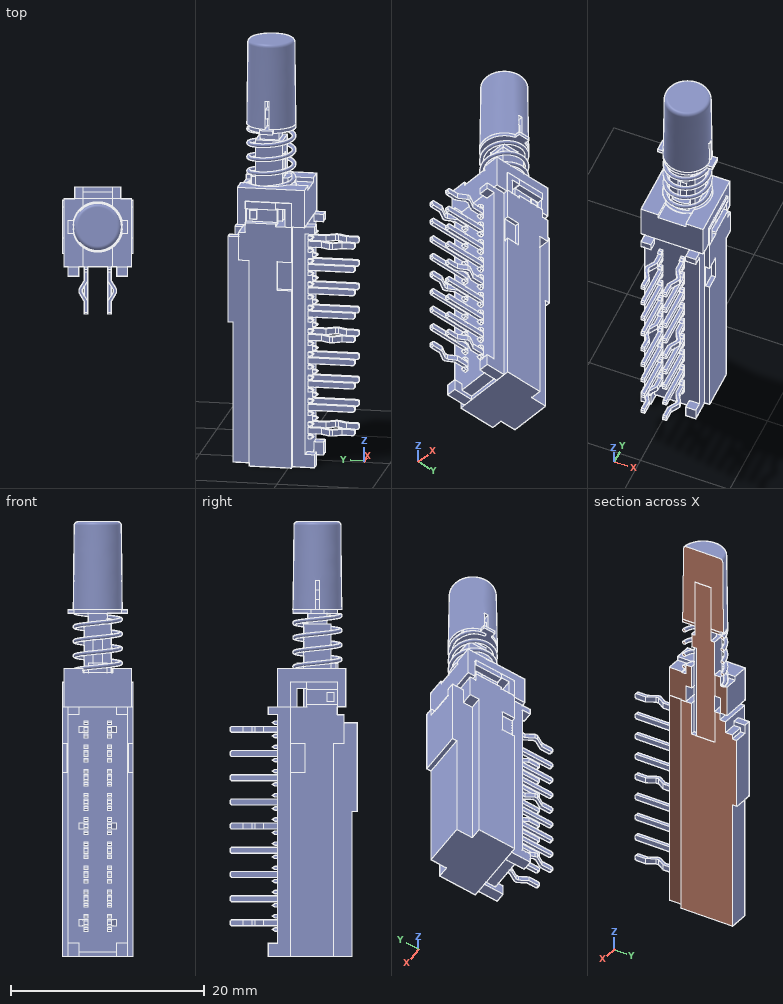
import cadquery as cq
import math


SHOULDER_Z = 22.05
SHOULDER_TOP_Z = 25.03
HOUSING_TOP_Z = 25.82
CAP_TOP_Z = 29.8

HOUSING_HALF_X = 3.65
HOUSING_REAR_Y = 1.67
HOUSING_TOP_REAR_Y = 2.07
SHOULDER_REAR_Y = 2.77
BOARD_REAR_Y = -2.77
FRONT_Y = -4.13

REAR_BLOCK_HALF_X = 2.39
REAR_BLOCK_Y = 3.6
REAR_BLOCK_TOP_Z = 24.2
REAR_PAD_Y = 4.13
REAR_PAD_BOTTOM_Z = 15.0
REAR_STEP = 0.5
CHANNEL_HALF_X = 1.55

SIDE_NOTCH_Y = -1.26
SIDE_NOTCH_BOTTOM_Z = 19.02
SIDE_NOTCH_DEPTH = 0.45

HOOK_FRONT_Y = -1.12
HOOK_TOP_Z = 28.37
HOOK_INNER_X = 2.4
HOOK_POCKET_BOTTOM_Z = 26.09
HOOK_POCKET_TOP_Z = 27.6
HOOK_POCKET_DEPTH = 0.7
HOOK_BUMP_Y = (0.98, 1.71)
HOOK_BUMP_Z = (26.36, 27.31)
HOOK_BUMP_HEIGHT = 0.2

CAP_HALF_X = 3.5
CAP_REAR_Y = 2.93
CAP_CAVITY_FRONT_Y = -2.09
CAP_CAVITY_TOP_Z = 27.7
CHANNEL_DEPTH = 0.45
SPRING_POCKET_RADIUS = 2.6
SPRING_POCKET_DEPTH = 0.55
SPRING_GUIDE_RADIUS = 2.13
SPRING_GUIDE_HALF_X = 0.94
SPRING_GUIDE_TOP_Z = 30.35

BOARD_HALF_X = 3.08
FOOT_INNER_X = 1.95
FOOT_FRONT_Y = -5.1
LOWER_FOOT_HEIGHT = 1.4
BOARD_NOTCH_HEIGHT = 0.5

PIN_ROWS = 9
PIN_PITCH = 2.5
FIRST_PIN_Z = 3.5
PIN_X = 1.22
PIN_THICKNESS = 0.38
PIN_HEIGHT = 0.64
PIN_TIP_Y = -9.02
PIN_TIP_CHAMFER = 0.15
KINK_EVERY = 4
KINK_OFFSET = 0.55
KINK_Y = (-5.55, -6.46, -6.77, -7.7)
BARB_OUTER = 0.87
BARB_INNER = 0.5
BARB_LENGTH = 0.55

PLUNGER_HALF = 1.42
PLUNGER_BOTTOM_Z = SHOULDER_Z
STEM_HALF = 1.0
STEM_BOTTOM_Z = 34.4
STEM_TOP_Z = 41.0
PLUNGER_SLOT_WIDTH = 0.95
PLUNGER_SLOT_DEPTH = 0.6
PLUNGER_SLOT_TOP_Z = 32.8
SNAP_Z = (36.93, 37.9)
SNAP_HEIGHT = 1.2

SEAT_BOTTOM_Z = 35.48
KNOB_BOTTOM_Z = 35.88
KNOB_TOP_Z = 44.99
KNOB_BOTTOM_RADIUS = 2.55
KNOB_TOP_RADIUS = 2.44
KNOB_FILLET = 0.42
KNOB_SLOT_WIDTH = 0.42
KNOB_SLOT_TOP_Z = 38.87
SEAT_REAR_Y = 2.1
EAR_HALF_X = 3.08
EAR_HALF_Y = 0.68

WIRE_DIAMETER = 0.4
SPRING_RADIUS = KNOB_BOTTOM_RADIUS - WIRE_DIAMETER / 2
SPRING_PITCH = 1.506
SPRING_TURNS = 4.25
SPRING_START_ANGLE = 90
SPRING_START_Z = 29.22


def box(x0, x1, y0, y1, z0, z1):
    return cq.Workplane("XY").box(x1 - x0, y1 - y0, z1 - z0, centered=False).translate((x0, y0, z0))


def centred_box(half_x, y0, y1, z0, z1):
    return box(-half_x, half_x, y0, y1, z0, z1)


def both_sides(shape):
    return shape.union(shape.mirror("YZ"))


def square_bar(half, z0, z1):
    return centred_box(half, -half, half, z0, z1)


def make_hooks():
    hook = box(-HOUSING_HALF_X, -HOOK_INNER_X, HOOK_FRONT_Y, HOUSING_TOP_REAR_Y, SHOULDER_TOP_Z, HOOK_TOP_Z)
    floor_x = -HOUSING_HALF_X + HOOK_POCKET_DEPTH
    pocket = box(
        -HOUSING_HALF_X, floor_x, HOOK_FRONT_Y, HOUSING_TOP_REAR_Y, HOOK_POCKET_BOTTOM_Z, HOOK_POCKET_TOP_Z
    )
    bump = box(floor_x - HOOK_BUMP_HEIGHT, floor_x, *HOOK_BUMP_Y, *HOOK_BUMP_Z)
    return both_sides(hook.cut(pocket).union(bump))


def make_rear_block():
    block = centred_box(REAR_BLOCK_HALF_X, HOUSING_REAR_Y, REAR_BLOCK_Y, 0, REAR_BLOCK_TOP_Z)
    pad = centred_box(REAR_BLOCK_HALF_X, REAR_BLOCK_Y, REAR_PAD_Y, REAR_PAD_BOTTOM_Z, REAR_BLOCK_TOP_Z)
    channel = centred_box(
        CHANNEL_HALF_X, HOUSING_REAR_Y, REAR_PAD_Y, REAR_BLOCK_TOP_Z - REAR_STEP, REAR_BLOCK_TOP_Z
    )
    pad_step = centred_box(
        CHANNEL_HALF_X, REAR_BLOCK_Y, REAR_PAD_Y, REAR_BLOCK_TOP_Z - 2 * REAR_STEP, REAR_BLOCK_TOP_Z
    )
    return block.union(pad).cut(channel).cut(pad_step)


def make_housing():
    lower = centred_box(HOUSING_HALF_X, BOARD_REAR_Y, HOUSING_REAR_Y, 0, SHOULDER_Z)
    shoulder = centred_box(HOUSING_HALF_X, BOARD_REAR_Y, SHOULDER_REAR_Y, SHOULDER_Z, SHOULDER_TOP_Z)
    upper = centred_box(HOUSING_HALF_X, BOARD_REAR_Y, HOUSING_TOP_REAR_Y, SHOULDER_TOP_Z, HOUSING_TOP_Z)
    side_notches = both_sides(
        box(
            -HOUSING_HALF_X, -HOUSING_HALF_X + SIDE_NOTCH_DEPTH,
            BOARD_REAR_Y, SIDE_NOTCH_Y, SIDE_NOTCH_BOTTOM_Z, SHOULDER_Z,
        )
    )
    plunger_bore = square_bar(PLUNGER_HALF, PLUNGER_BOTTOM_Z, HOUSING_TOP_Z)
    body = make_rear_block().union(lower).union(shoulder).union(upper)
    return body.cut(side_notches).cut(plunger_bore).union(make_hooks())


def make_spring_guides():
    """Two rounded tabs, in front of and behind the plunger, that centre the spring."""
    floor_z = CAP_TOP_Z - SPRING_POCKET_DEPTH
    height = SPRING_GUIDE_TOP_Z - floor_z
    cylinder = cq.Workplane("XY").workplane(offset=floor_z).circle(SPRING_GUIDE_RADIUS).extrude(height)
    strip = centred_box(
        SPRING_GUIDE_HALF_X, -SPRING_GUIDE_RADIUS, SPRING_GUIDE_RADIUS, floor_z, SPRING_GUIDE_TOP_Z
    )
    return cylinder.intersect(strip)


def make_cap():
    cap = centred_box(CAP_HALF_X, FRONT_Y, CAP_REAR_Y, HOUSING_TOP_Z, CAP_TOP_Z)
    side_pads = centred_box(HOUSING_HALF_X, BOARD_REAR_Y, HOUSING_TOP_REAR_Y, HOUSING_TOP_Z, HOOK_TOP_Z)
    cavity = centred_box(
        HOUSING_HALF_X, CAP_CAVITY_FRONT_Y, HOUSING_TOP_REAR_Y, HOUSING_TOP_Z, CAP_CAVITY_TOP_Z
    )
    hook_notches = both_sides(
        box(-HOUSING_HALF_X, -HOOK_INNER_X, HOOK_FRONT_Y, HOUSING_TOP_REAR_Y, HOUSING_TOP_Z, HOOK_TOP_Z)
    )
    channel = centred_box(CHANNEL_HALF_X, FRONT_Y, CAP_REAR_Y, CAP_TOP_Z - CHANNEL_DEPTH, CAP_TOP_Z)
    spring_pocket = cq.Workplane("XY").workplane(offset=CAP_TOP_Z).circle(SPRING_POCKET_RADIUS)
    spring_pocket = spring_pocket.extrude(-SPRING_POCKET_DEPTH)
    plunger_bore = square_bar(PLUNGER_HALF, HOUSING_TOP_Z, SPRING_GUIDE_TOP_Z)
    shell = cap.union(side_pads).cut(cavity).cut(hook_notches).cut(channel).cut(spring_pocket)
    return shell.union(make_spring_guides()).cut(plunger_bore)


def make_pin(z, side, kinked):
    """One terminal; side is -1 or +1 and a kinked pin bulges away from X = 0."""
    inner = PIN_X - PIN_THICKNESS / 2
    outer = PIN_X + PIN_THICKNESS / 2
    kink_x = (0, KINK_OFFSET, KINK_OFFSET, 0) if kinked else (0, 0, 0, 0)
    bends = list(zip(kink_x, KINK_Y))
    inner_edge = [(inner + x, y) for x, y in bends] if kinked else []
    outer_edge = [(outer + x, y) for x, y in reversed(bends)] if kinked else []
    outline = [
        (inner, FRONT_Y), *inner_edge, (inner, PIN_TIP_Y), (outer, PIN_TIP_Y), *outer_edge, (outer, FRONT_Y)
    ]
    blade = cq.Workplane("XY").polyline(outline).close().extrude(PIN_HEIGHT)
    blade = blade.faces("<Y").edges("|X").chamfer(PIN_TIP_CHAMFER)
    pin = blade.translate((0, 0, -PIN_HEIGHT / 2))

    barb_outline = [
        (FRONT_Y, BARB_INNER),
        (FRONT_Y - BARB_LENGTH / 2, BARB_INNER),
        (FRONT_Y - BARB_LENGTH, (BARB_INNER + BARB_OUTER) / 2),
        (FRONT_Y - BARB_LENGTH / 2, BARB_OUTER),
        (FRONT_Y, BARB_OUTER),
    ]
    barb = cq.Workplane("YZ").polyline(barb_outline).close().extrude(PIN_THICKNESS).translate((inner, 0, 0))
    pin = pin.union(barb).union(barb.mirror("XY"))
    if side < 0:
        pin = pin.mirror("YZ")
    return pin.translate((0, 0, z))


def make_pin_board():
    board = centred_box(BOARD_HALF_X, FRONT_Y, BOARD_REAR_Y, 0, HOUSING_TOP_Z)
    board = board.cut(centred_box(FOOT_INNER_X, FRONT_Y, BOARD_REAR_Y, 0, BOARD_NOTCH_HEIGHT))
    for z0, z1 in ((0, LOWER_FOOT_HEIGHT), (SHOULDER_TOP_Z, HOUSING_TOP_Z)):
        board = board.union(both_sides(box(FOOT_INNER_X, BOARD_HALF_X, FOOT_FRONT_Y, FRONT_Y, z0, z1)))
    for row in range(PIN_ROWS):
        kinked = row % KINK_EVERY == 0
        for side in (-1, 1):
            board = board.union(make_pin(FIRST_PIN_Z + row * PIN_PITCH, side, kinked))
    return board


def make_plunger():
    body = square_bar(PLUNGER_HALF, PLUNGER_BOTTOM_Z, STEM_BOTTOM_Z)
    slot = centred_box(
        PLUNGER_SLOT_WIDTH / 2, -PLUNGER_HALF, -PLUNGER_HALF + PLUNGER_SLOT_DEPTH,
        PLUNGER_BOTTOM_Z, PLUNGER_SLOT_TOP_Z,
    )
    stem = square_bar(STEM_HALF, STEM_BOTTOM_Z, STEM_TOP_Z)
    snaps = centred_box(STEM_HALF + SNAP_HEIGHT, -KNOB_SLOT_WIDTH / 2, KNOB_SLOT_WIDTH / 2, *SNAP_Z)
    return body.cut(slot).union(stem).union(snaps)


def make_seat():
    seat = cq.Workplane("XY").workplane(offset=SEAT_BOTTOM_Z).circle(KNOB_BOTTOM_RADIUS)
    seat = seat.extrude(KNOB_BOTTOM_Z - SEAT_BOTTOM_Z)
    rear_flat = centred_box(
        KNOB_BOTTOM_RADIUS, SEAT_REAR_Y, KNOB_BOTTOM_RADIUS, SEAT_BOTTOM_Z, KNOB_BOTTOM_Z
    )
    ears = centred_box(EAR_HALF_X, -EAR_HALF_Y, EAR_HALF_Y, SEAT_BOTTOM_Z, KNOB_BOTTOM_Z)
    return seat.cut(rear_flat).union(ears).cut(square_bar(STEM_HALF, SEAT_BOTTOM_Z, KNOB_BOTTOM_Z))


def make_knob():
    height = KNOB_TOP_Z - KNOB_BOTTOM_Z
    draft = math.degrees(math.atan2(KNOB_BOTTOM_RADIUS - KNOB_TOP_RADIUS, height))
    knob = cq.Workplane("XY").workplane(offset=KNOB_BOTTOM_Z).circle(KNOB_BOTTOM_RADIUS)
    knob = knob.extrude(height, taper=draft).faces(">Z").edges().fillet(KNOB_FILLET)
    slot = centred_box(
        KNOB_BOTTOM_RADIUS, -KNOB_SLOT_WIDTH / 2, KNOB_SLOT_WIDTH / 2, KNOB_BOTTOM_Z, KNOB_SLOT_TOP_Z
    )
    return knob.cut(slot).cut(square_bar(STEM_HALF, KNOB_BOTTOM_Z, STEM_TOP_Z))


def make_spring():
    """Right-handed coil that stands in the spring pocket, with both ends ground flat."""
    path = cq.Wire.makeHelix(SPRING_PITCH, SPRING_PITCH * SPRING_TURNS, SPRING_RADIUS)
    wire = cq.Workplane("XZ").center(SPRING_RADIUS, 0).circle(WIRE_DIAMETER / 2)
    coil = wire.sweep(cq.Workplane(path), isFrenet=True)
    coil = coil.rotate((0, 0, 0), (0, 0, 1), SPRING_START_ANGLE).translate((0, 0, SPRING_START_Z))
    return coil.intersect(square_bar(EAR_HALF_X, CAP_TOP_Z - SPRING_POCKET_DEPTH, SEAT_BOTTOM_Z))


housing = make_housing()
cap = make_cap()
pin_board = make_pin_board()
plunger = make_plunger()
spring = make_spring()
seat = make_seat()
knob = make_knob()

result = cq.Compound.makeCompound([
    housing.val(),
    cap.val(),
    pin_board.val(),
    plunger.val(),
    spring.val(),
    seat.val(),
    knob.val(),
])